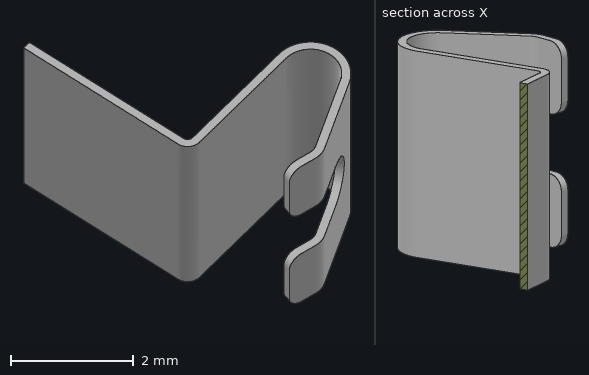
import cadquery as cq
import math

thickness = 0.1524
total_length = 5.18
total_depth = 3.17
strip_height = 3.51

base_inner_radius = 0.1016
hook_inner_radius = 0.508
lip_inner_radius = 0.254
base_outer_radius = base_inner_radius + thickness
hook_outer_radius = hook_inner_radius + thickness
lip_outer_radius = lip_inner_radius + thickness

wall_outer_x = 3.48
wall_inner_x = wall_outer_x - thickness

arm_angle = 22.5
lip_angle = 15.0
lip_length = 0.53
lip_corner_radius = 0.254

slot_width = 1.016
slot_radius = slot_width / 2
slot_start = 0.295
slot_cutter_length = 3.0
slot_cutter_reach = 0.65


def polar(center, radius, degrees):
    """Point at a radius and direction from a center."""
    angle = math.radians(degrees)
    return (center[0] + radius * math.cos(angle), center[1] + radius * math.sin(angle))


base_bend = (wall_outer_x - base_outer_radius, base_outer_radius)
hook_bend = (wall_inner_x + hook_outer_radius, total_depth - hook_outer_radius)
lip_bend_x = total_length - lip_outer_radius
arm_offset = hook_outer_radius - lip_outer_radius
arm_radians = math.radians(arm_angle)
lip_bend_y = hook_bend[1] + (
    arm_offset - (lip_bend_x - hook_bend[0]) * math.cos(arm_radians)
) / math.sin(arm_radians)
lip_bend = (lip_bend_x, lip_bend_y)

lip_direction = -90 - lip_angle
lip_outer_end = polar(polar(lip_bend, lip_outer_radius, -lip_angle), lip_length, lip_direction)
lip_inner_end = polar(lip_outer_end, thickness, 180 - lip_angle)


def bent_strip():
    """Sheet profile in the XY plane, extruded over the strip height about Z = 0."""
    mid_base = -45
    mid_hook = (180 + arm_angle) / 2
    mid_lip = (arm_angle - lip_angle) / 2
    profile = (
        cq.Workplane("XY")
        .moveTo(0, 0)
        .lineTo(base_bend[0], 0)
        .threePointArc(polar(base_bend, base_outer_radius, mid_base), (wall_outer_x, base_bend[1]))
        .lineTo(wall_outer_x, hook_bend[1])
        .threePointArc(
            polar(hook_bend, hook_inner_radius, mid_hook),
            polar(hook_bend, hook_inner_radius, arm_angle),
        )
        .lineTo(*polar(lip_bend, lip_inner_radius, arm_angle))
        .threePointArc(
            polar(lip_bend, lip_inner_radius, mid_lip),
            polar(lip_bend, lip_inner_radius, -lip_angle),
        )
        .lineTo(*lip_inner_end)
        .lineTo(*lip_outer_end)
        .lineTo(*polar(lip_bend, lip_outer_radius, -lip_angle))
        .threePointArc(
            polar(lip_bend, lip_outer_radius, mid_lip),
            polar(lip_bend, lip_outer_radius, arm_angle),
        )
        .lineTo(*polar(hook_bend, hook_outer_radius, arm_angle))
        .threePointArc(
            polar(hook_bend, hook_outer_radius, mid_hook),
            (wall_inner_x, hook_bend[1]),
        )
        .lineTo(wall_inner_x, base_bend[1])
        .threePointArc(
            polar(base_bend, base_inner_radius, mid_base),
            (base_bend[0], thickness),
        )
        .lineTo(0, thickness)
        .close()
    )
    return profile.extrude(strip_height / 2, both=True)


def finger_slot():
    """Cutter square to the arm, its closed end rounded by two quarter arcs."""
    arm_plane = cq.Plane(
        origin=(*polar(hook_bend, hook_outer_radius, arm_angle), 0),
        xDir=(math.sin(arm_radians), -math.cos(arm_radians), 0),
        normal=(math.cos(arm_radians), math.sin(arm_radians), 0),
    )
    slot_end = slot_start + slot_cutter_length
    arc_center = (slot_start + slot_radius, 0)
    return (
        cq.Workplane(arm_plane)
        .moveTo(slot_end, -slot_radius)
        .lineTo(arc_center[0], -slot_radius)
        .threePointArc(polar(arc_center, slot_radius, -135), (slot_start, 0))
        .threePointArc(polar(arc_center, slot_radius, 135), (arc_center[0], slot_radius))
        .lineTo(slot_end, slot_radius)
        .close()
        .extrude(slot_cutter_reach, both=True)
    )


def round_lip_corners(body):
    """Round the four finger corners, whose edges run through the sheet at the lip end."""
    lip_middle = polar(lip_outer_end, thickness / 2, 180 - lip_angle)
    around_lip_end = cq.selectors.BoxSelector(
        (lip_middle[0] - thickness, lip_middle[1] - thickness, -strip_height),
        (lip_middle[0] + thickness, lip_middle[1] + thickness, strip_height),
    )
    return body.edges(around_lip_end).edges("#Z").fillet(lip_corner_radius)


result = round_lip_corners(bent_strip().cut(finger_slot()))